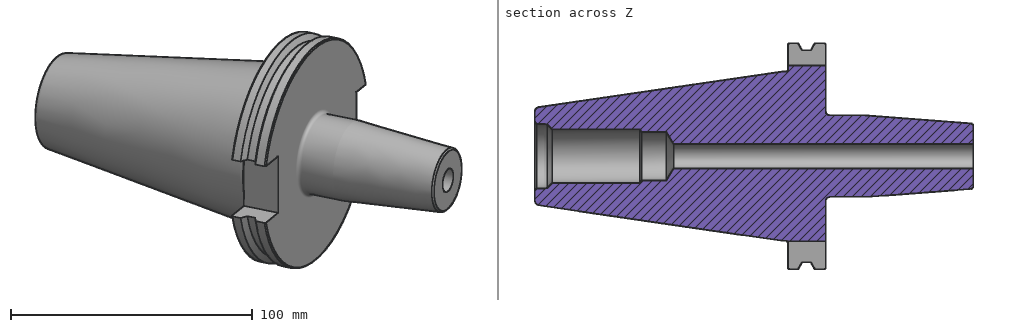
import cadquery as cq
import math

TOTAL_LENGTH = 181.6
GAUGE_X = 102.8
FLANGE_START_X = 104.8
FLANGE_END_X = 120.6
NOSE_CONE_X = 137.0

GAUGE_DIAMETER = 70.3
TAPER_RATIO = 7 / 24
TAPER_END_ROUND = 2.2
NECK_ROOT_FILLET = 0.5

FLANGE_DIAMETER = 97.2
FLANGE_CHAMFER = 0.5
GROOVE_X = 112.51
GROOVE_FLOOR_DIAMETER = 91.5
GROOVE_FLOOR_WIDTH = 3.6
GROOVE_FLANK_ANGLE = 30.0

SLOT_WIDTH = 25.6
SHALLOW_SLOT_Y = -35.2
DEEP_SLOT_Y = 37.6

NOSE_DIAMETER = 34.0
NOSE_TIP_DIAMETER = 27.2
NOSE_TIP_CHAMFER = 0.7
NOSE_ROOT_FILLET = 1.6

MOUTH_DIAMETER = 28.7
MOUTH_CHAMFER_DEPTH = 0.9
COUNTERBORE_DIAMETER = 26.7
COUNTERBORE_DEPTH = 3.8
SEAT_DIAMETER = 26.2
SEAT_DEPTH = 5.3
SEAT_CONE_ANGLE = 45.0
THREAD_DIAMETER = 22.2
THREAD_DEPTH = 43.5
DRILL_DIAMETER = 20.0
DRILL_DEPTH = 54.5
DRILL_POINT_ANGLE = 59.0
THROUGH_DIAMETER = 10.0


def cone_length(large_diameter, small_diameter, half_angle):
    """Axial length of a cone between two diameters."""
    return (large_diameter - small_diameter) / 2 / math.tan(math.radians(half_angle))


def revolve_about_x(points):
    """Solid of revolution from (x, diameter) points; its ends are closed on the axis."""
    outline = [(x, diameter / 2) for x, diameter in points]
    outline = [(points[0][0], 0)] + outline + [(points[-1][0], 0)]
    return cq.Workplane("XY").polyline(outline).close().revolve(360, (0, 0, 0), (1, 0, 0))


def make_taper():
    small_diameter = GAUGE_DIAMETER - GAUGE_X * TAPER_RATIO
    taper = revolve_about_x([
        (0, small_diameter),
        (GAUGE_X, GAUGE_DIAMETER),
        (FLANGE_START_X, GAUGE_DIAMETER),
    ])
    return taper.faces("<X").edges().fillet(TAPER_END_ROUND)


def make_neck_fillet():
    """Disc with a concave rim that blends the neck into the flange face."""
    neck_radius = GAUGE_DIAMETER / 2
    fillet_start_x = FLANGE_START_X - NECK_ROOT_FILLET
    sag = NECK_ROOT_FILLET * (1 - math.sqrt(0.5))
    return (
        cq.Workplane("XY")
        .moveTo(fillet_start_x, 0)
        .lineTo(fillet_start_x, neck_radius)
        .threePointArc(
            (FLANGE_START_X - sag, neck_radius + sag),
            (FLANGE_START_X, neck_radius + NECK_ROOT_FILLET),
        )
        .lineTo(FLANGE_START_X, 0)
        .close()
        .revolve(360, (0, 0, 0), (1, 0, 0))
    )


def make_flange():
    half_floor = GROOVE_FLOOR_WIDTH / 2
    groove_depth = (FLANGE_DIAMETER - GROOVE_FLOOR_DIAMETER) / 2
    half_mouth = half_floor + groove_depth * math.tan(math.radians(GROOVE_FLANK_ANGLE))
    chamfered_diameter = FLANGE_DIAMETER - 2 * FLANGE_CHAMFER
    return revolve_about_x([
        (FLANGE_START_X, chamfered_diameter),
        (FLANGE_START_X + FLANGE_CHAMFER, FLANGE_DIAMETER),
        (GROOVE_X - half_mouth, FLANGE_DIAMETER),
        (GROOVE_X - half_floor, GROOVE_FLOOR_DIAMETER),
        (GROOVE_X + half_floor, GROOVE_FLOOR_DIAMETER),
        (GROOVE_X + half_mouth, FLANGE_DIAMETER),
        (FLANGE_END_X - FLANGE_CHAMFER, FLANGE_DIAMETER),
        (FLANGE_END_X, chamfered_diameter),
    ])


def make_drive_slot(floor_y):
    """Cutter running outward from the slot floor past the flange rim."""
    rim_y = math.copysign(FLANGE_DIAMETER, floor_y)
    cutter = cq.Workplane("XY").box(
        FLANGE_END_X - FLANGE_START_X, abs(rim_y - floor_y), SLOT_WIDTH
    )
    return cutter.translate(((FLANGE_START_X + FLANGE_END_X) / 2, (floor_y + rim_y) / 2, 0))


def make_nose():
    root_radius = NOSE_DIAMETER / 2
    tip_radius = NOSE_TIP_DIAMETER / 2
    fillet_sag = NOSE_ROOT_FILLET * (1 - math.sqrt(0.5))
    return (
        cq.Workplane("XY")
        .moveTo(FLANGE_END_X, 0)
        .lineTo(FLANGE_END_X, root_radius + NOSE_ROOT_FILLET)
        .threePointArc(
            (FLANGE_END_X + fillet_sag, root_radius + fillet_sag),
            (FLANGE_END_X + NOSE_ROOT_FILLET, root_radius),
        )
        .lineTo(NOSE_CONE_X, root_radius)
        .lineTo(TOTAL_LENGTH - NOSE_TIP_CHAMFER, tip_radius)
        .lineTo(TOTAL_LENGTH, tip_radius - NOSE_TIP_CHAMFER)
        .lineTo(TOTAL_LENGTH, 0)
        .close()
        .revolve(360, (0, 0, 0), (1, 0, 0))
    )


def make_bore():
    seat_end = SEAT_DEPTH + cone_length(SEAT_DIAMETER, THREAD_DIAMETER, SEAT_CONE_ANGLE)
    thread_runout = cone_length(THREAD_DIAMETER, DRILL_DIAMETER, DRILL_POINT_ANGLE)
    drill_point = cone_length(DRILL_DIAMETER, THROUGH_DIAMETER, DRILL_POINT_ANGLE)
    return revolve_about_x([
        (0, MOUTH_DIAMETER),
        (MOUTH_CHAMFER_DEPTH, COUNTERBORE_DIAMETER),
        (COUNTERBORE_DEPTH, COUNTERBORE_DIAMETER),
        (SEAT_DEPTH, SEAT_DIAMETER),
        (seat_end, THREAD_DIAMETER),
        (THREAD_DEPTH, THREAD_DIAMETER),
        (THREAD_DEPTH + thread_runout, DRILL_DIAMETER),
        (DRILL_DEPTH, DRILL_DIAMETER),
        (DRILL_DEPTH + drill_point, THROUGH_DIAMETER),
        (TOTAL_LENGTH, THROUGH_DIAMETER),
    ])


flange = make_flange()
for slot_floor_y in (SHALLOW_SLOT_Y, DEEP_SLOT_Y):
    flange = flange.cut(make_drive_slot(slot_floor_y))

result = make_taper().union(make_neck_fillet()).union(flange).union(make_nose()).cut(make_bore())